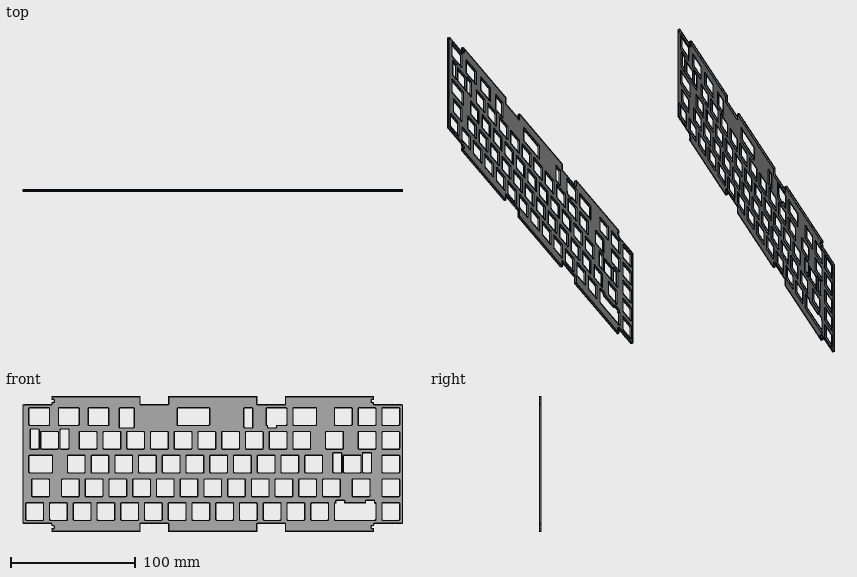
import cadquery as cq
UNIT = 19.05
COLUMNS = 16
ROWS = 5
THICKNESS = 1.5
PLATE_WIDTH = COLUMNS * UNIT
PLATE_HEIGHT = ROWS * UNIT
PLATE_CORNER_RADIUS = 1.0

TAB_HEIGHT = 6.5
TAB_WIDTH = 70.8
TAB_PITCH = 93.75
TAB_BASE_RADIUS = 0.55
NOTCH_DEPTH = 2.0
NOTCH_HEIGHT = 2.5
NOTCH_CORNER_RADIUS = 1.0
NOTCH_CENTRE_HEIGHT = 3.0

CLEARANCE = 1.0

SWITCH = 14.0
STABILISER_WIDTH = 7.0
STABILISER_SHORT_SIDE = SWITCH / 2
STABILISER_LONG_SIDE = 9.0
STABILISER_SPACING = 23.876
STABILISER_OFFSET = STABILISER_SPACING / 2 / UNIT
OPENING_CORNER_RADIUS = 0.55

SWITCH_CENTRES = {
    2: [13.5, 14.5, 15.5],
    1: [1.125] + [2.75 + i for i in range(10)] + [13.125, 14.5, 15.5],
    0: [2.25 + i for i in range(11)] + [13.875, 15.5],
    -1: [0.75] + [2.0 + i for i in range(12)] + [14.25, 15.5],
    -2: [0.5 + i for i in range(13)] + [15.5],
}

SHARED_SWITCHES = [
    (2, 0.625, 0.75),
    (2, 1.875, 2.0),
    (2, 3.125, 3.25),
    (2, 6.875, 7.5),
    (2, 11.75, 12.0),
    (0, 0.625, 0.875),
]

STABILISED_KEYS = [(1, 1.125), (0, 13.875)]

SPACE_ROW = 2
SPACE_STABILISERS = [(4.25, 4.5), (9.5, 9.5)]
SPACE_END_STABILISER = 10.5
SPACE_END_SWITCHES = (10.625, 10.75)

BACKSPACE_ROW = -2
BACKSPACE_CENTRE = 14.0
BACKSPACE_SWITCHES = (13.5, 14.5)


def block(x_min, x_max, z_min, z_max):
    """Full-thickness block covering the given X and Z ranges."""
    return cq.Workplane("XY").box(x_max - x_min, THICKNESS, z_max - z_min).translate(
        ((x_min + x_max) / 2, 0, (z_min + z_max) / 2)
    )


def column_x(units):
    """X of a point measured in units from the left edge."""
    return units * UNIT - PLATE_WIDTH / 2


def opening(row, first, last, width, below, above):
    """Rounded opening that covers every position of a cutout from first to last centre."""
    z = row * UNIT
    cutter = block(column_x(first) - width / 2, column_x(last) + width / 2, z - below, z + above)
    return cutter.edges("|Y").fillet(OPENING_CORNER_RADIUS)


def switch_opening(row, first, last):
    return opening(row, first, last, SWITCH, SWITCH / 2, SWITCH / 2)


def stabiliser_opening(row, first, last, upside_down=False):
    below, above = STABILISER_SHORT_SIDE, STABILISER_LONG_SIDE
    if upside_down:
        below, above = above, below
    return opening(row, first, last, STABILISER_WIDTH, below, above)


def plate_outline():
    plate = block(-PLATE_WIDTH / 2, PLATE_WIDTH / 2, -PLATE_HEIGHT / 2, PLATE_HEIGHT / 2)
    plate = plate.edges("|Y").fillet(PLATE_CORNER_RADIUS)
    tab_top = PLATE_HEIGHT / 2 + TAB_HEIGHT
    for i in (-1, 0, 1):
        x = i * TAB_PITCH
        plate = plate.union(block(x - TAB_WIDTH / 2, x + TAB_WIDTH / 2, -tab_top, tab_top))
    inner_half_width = PLATE_WIDTH / 2 - PLATE_CORNER_RADIUS - CLEARANCE
    inner_half_height = PLATE_HEIGHT / 2 + CLEARANCE
    tab_bases = cq.selectors.BoxSelector(
        (-inner_half_width, -THICKNESS, -inner_half_height),
        (inner_half_width, THICKNESS, inner_half_height),
    )
    return plate.edges("|Y").edges(tab_bases).fillet(TAB_BASE_RADIUS)


def cut_notches(plate):
    """Cut a notch into the outer ends of the outer tabs."""
    tab_end = TAB_PITCH + TAB_WIDTH / 2
    notch_z = PLATE_HEIGHT / 2 + NOTCH_CENTRE_HEIGHT
    for x in (-tab_end, tab_end):
        for z in (-notch_z, notch_z):
            notch = block(x - NOTCH_DEPTH, x + NOTCH_DEPTH, z - NOTCH_HEIGHT / 2, z + NOTCH_HEIGHT / 2)
            plate = plate.cut(notch.edges("|Y").fillet(NOTCH_CORNER_RADIUS))
    return plate


def stabiliser_pair(row, centre):
    """Upright stabiliser openings on both sides of a key."""
    positions = (centre - STABILISER_OFFSET, centre + STABILISER_OFFSET)
    return [stabiliser_opening(row, position, position) for position in positions]


def single_switch_openings():
    return [
        switch_opening(row, centre, centre)
        for row, centres in SWITCH_CENTRES.items()
        for centre in centres
    ]


def stabilised_key_openings():
    cutters = []
    for row, centre in STABILISED_KEYS:
        cutters.extend(stabiliser_pair(row, centre))
    return cutters


def space_bar_openings():
    """Space bar stabilisers; the last one merges with the switch beside it."""
    cutters = [
        stabiliser_opening(SPACE_ROW, first, last, upside_down=True)
        for first, last in SPACE_STABILISERS
    ]
    end_stabiliser = stabiliser_opening(
        SPACE_ROW, SPACE_END_STABILISER, SPACE_END_STABILISER, upside_down=True
    )
    cutters.append(switch_opening(SPACE_ROW, *SPACE_END_SWITCHES).union(end_stabiliser))
    return cutters


def backspace_opening():
    cutter = switch_opening(BACKSPACE_ROW, *BACKSPACE_SWITCHES)
    for stabiliser in stabiliser_pair(BACKSPACE_ROW, BACKSPACE_CENTRE):
        cutter = cutter.union(stabiliser)
    return cutter


openings = single_switch_openings()
openings += [switch_opening(*shared) for shared in SHARED_SWITCHES]
openings += stabilised_key_openings()
openings += space_bar_openings()
openings.append(backspace_opening())
all_openings = cq.Compound.makeCompound([cutter.val() for cutter in openings])

plate = cut_notches(plate_outline()).cut(cq.Workplane(all_openings))
result = cq.Workplane(plate.solids().val())